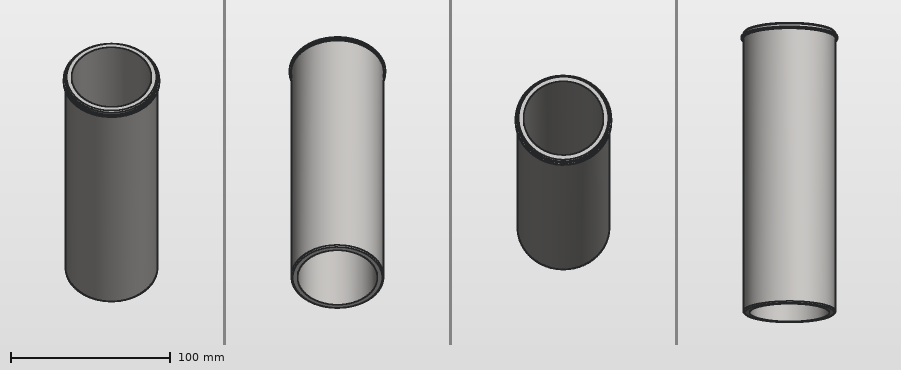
import cadquery as cq

sleeve_length = 180.0
sleeve_diameter = 58.0
bore_diameter = 50.0
rim_chamfer = 0.9

ring_diameter = 60.3
ring_thickness = 1.0
ring_top_setback = 2.9


def make_sleeve():
    """Tube with its outer edge chamfered at both ends."""
    bar = cq.Workplane("XY").circle(sleeve_diameter / 2).extrude(sleeve_length)
    bar = bar.faces("<Z or >Z").edges().chamfer(rim_chamfer)
    return bar.faces(">Z").workplane().hole(bore_diameter)


def make_retaining_ring():
    """Flat ring that fits closely around the sleeve."""
    base_height = sleeve_length - ring_top_setback - ring_thickness
    return (
        cq.Workplane("XY", origin=(0, 0, base_height))
        .circle(ring_diameter / 2)
        .circle(sleeve_diameter / 2)
        .extrude(ring_thickness)
    )


sleeve = make_sleeve()
retaining_ring = make_retaining_ring()

result = cq.Compound.makeCompound([sleeve.val(), retaining_ring.val()])